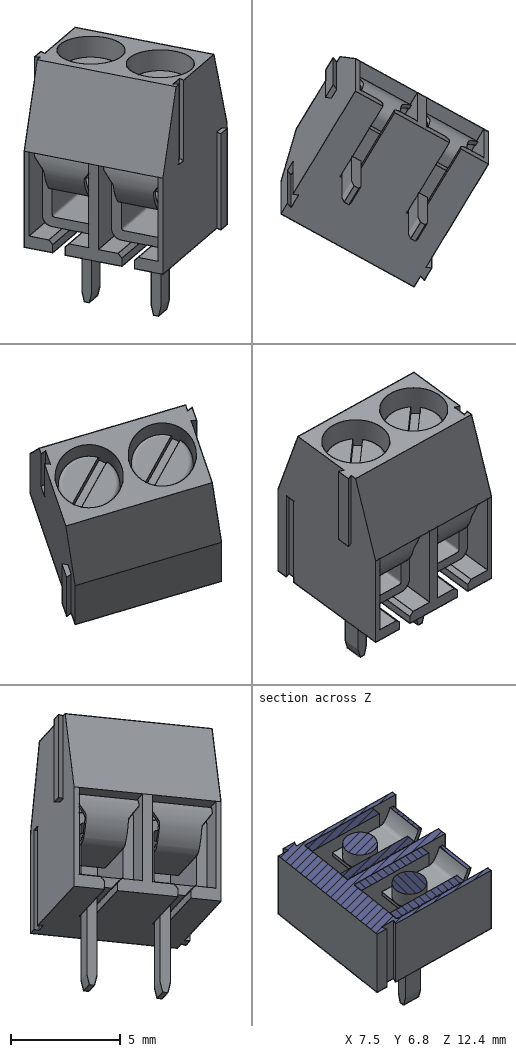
import cadquery as cq
import math

ARC_MID_INSET = 1 - math.sqrt(0.5)

HOUSING_WIDTH = 7.0
HOUSING_DEPTH = 6.8
HOUSING_TOP_DEPTH = 4.0
HOUSING_HEIGHT = 8.8
SHOULDER_Z = 4.8
SIDE_X = HOUSING_WIDTH / 2
FRONT_Y = -HOUSING_DEPTH / 2

PITCH = 3.5
POLE_XS = (-PITCH / 2, PITCH / 2)

POCKET_WIDTH = 3.01
POCKET_FLOOR_Z = 0.61
POCKET_BACK_Y = 2.0

PIN_SLOT_WIDTH = 0.62
PIN_SLOT_BACK_Y = 0.5
PIN_SLOT_CHAMFER = 0.2

KEY_HEIGHT = 0.25
KEY_ROOT_WIDTH = 0.5
KEY_TIP_WIDTH = 0.7
UPPER_KEY_Y = -1.45
LOWER_KEY_Y = 2.55

LEAF_THICKNESS = 0.2
LEAF_CURVE_R = 2.0
LEAF_CURVE_Y = -0.88
LEAF_CURVE_Z = 4.02
UPPER_BEND_R = 0.4
LOWER_BEND_R = 0.5
TONGUE_BOTTOM_Z = 2.57
TONGUE_TOP_Z = TONGUE_BOTTOM_Z + LEAF_THICKNESS
TAPER_BOTTOM_Z = 3.72
TAPER_TOP_Z = 4.39
TAPER_ROUND = 0.4

STRIP = 0.5
CAGE_HALF_WIDTH = POCKET_WIDTH / 2
CAGE_FRONT_Y = -2.0
CAGE_DEPTH = POCKET_BACK_Y - CAGE_FRONT_Y
CAGE_TOP_Z = SHOULDER_Z - LEAF_THICKNESS
LAP_Z = CAGE_TOP_Z - STRIP
OUTER_CORNER_R = 0.5
TUCKED_CORNER_R = 1.25 / 2
OPENING_WIDTH = 2.01
OPENING_CORNER_R = 0.12
OPENING_BOTTOM_Z = POCKET_FLOOR_Z + STRIP
OPENING_TOP_Z = LAP_Z - STRIP

PIN_WIDTH = STRIP
PIN_DEPTH = 0.9
PIN_BOTTOM_Z = HOUSING_HEIGHT - 12.4
PIN_TIP_WIDTH = 0.25
PIN_TIP_LENGTH = 0.5
PIN_BEND_R = 0.2

SCREW_HOLE_D = 3.1
HEAD_SEAT_D = 3.0
HEAD_TOP_D = 2.8
HEAD_TOP_Z = HOUSING_HEIGHT - 0.9
HEAD_ROUND = 0.2
DRIVE_SLOT_WIDTH = 0.45
DRIVE_SLOT_DEPTH = 0.5
DRIVE_SLOT_ANGLE = 45
SHANK_D = 1.6


def dovetail(root_x, tip_x, y, z_bottom, z_top):
    """Upright bar that widens from root_x to tip_x."""
    root = KEY_ROOT_WIDTH / 2
    tip = KEY_TIP_WIDTH / 2
    return (
        cq.Workplane("XY", origin=(0, y, z_bottom))
        .polyline([(root_x, -root), (tip_x, -tip), (tip_x, tip), (root_x, root)])
        .close()
        .extrude(z_top - z_bottom)
    )


def housing_block():
    half_top = HOUSING_TOP_DEPTH / 2
    return (
        cq.Workplane("YZ", origin=(-SIDE_X, 0, 0))
        .moveTo(FRONT_Y, 0)
        .lineTo(-FRONT_Y, 0)
        .lineTo(-FRONT_Y, SHOULDER_Z)
        .lineTo(half_top, HOUSING_HEIGHT)
        .lineTo(-half_top, HOUSING_HEIGHT)
        .lineTo(FRONT_Y, SHOULDER_Z)
        .close()
        .extrude(HOUSING_WIDTH)
    )


def pole_cavity(x):
    """Pocket, pin slot and screw hole of one pole."""
    pocket = (
        cq.Workplane("XZ", origin=(x, POCKET_BACK_Y, (POCKET_FLOOR_Z + SHOULDER_Z) / 2))
        .rect(POCKET_WIDTH, SHOULDER_Z - POCKET_FLOOR_Z)
        .extrude(POCKET_BACK_Y - FRONT_Y)
    )
    half = PIN_SLOT_WIDTH / 2
    mouth = half + PIN_SLOT_CHAMFER
    neck_z = POCKET_FLOOR_Z - PIN_SLOT_CHAMFER
    pin_slot = (
        cq.Workplane("XZ", origin=(x, PIN_SLOT_BACK_Y, 0))
        .moveTo(-half, 0)
        .lineTo(-half, neck_z)
        .lineTo(-mouth, POCKET_FLOOR_Z)
        .lineTo(mouth, POCKET_FLOOR_Z)
        .lineTo(half, neck_z)
        .lineTo(half, 0)
        .close()
        .extrude(PIN_SLOT_BACK_Y - FRONT_Y)
    )
    screw_hole = (
        cq.Workplane("XY", origin=(x, 0, SHOULDER_Z))
        .circle(SCREW_HOLE_D / 2)
        .extrude(HOUSING_HEIGHT - SHOULDER_Z)
    )
    return pocket.union(pin_slot).union(screw_hole)


def make_housing():
    upper = (UPPER_KEY_Y, SHOULDER_Z, HOUSING_HEIGHT)
    lower = (LOWER_KEY_Y, 0, SHOULDER_Z)
    body = housing_block()
    body = body.union(dovetail(-SIDE_X, -SIDE_X - KEY_HEIGHT, *upper))
    body = body.union(dovetail(SIDE_X, SIDE_X + KEY_HEIGHT, *lower))
    body = body.cut(dovetail(SIDE_X, SIDE_X - KEY_HEIGHT, *upper))
    body = body.cut(dovetail(-SIDE_X, -SIDE_X + KEY_HEIGHT, *lower))
    for x in POLE_XS:
        body = body.cut(pole_cavity(x))
    return body


def cage_loop():
    """Wrapped strip: the turn below the lap has a rounded left corner tucked under it."""
    tuck = TUCKED_CORNER_R * ARC_MID_INSET
    corner = OUTER_CORNER_R * ARC_MID_INSET
    left = -CAGE_HALF_WIDTH
    right = CAGE_HALF_WIDTH
    outline = (
        cq.Workplane("XZ", origin=(0, POCKET_BACK_Y, 0))
        .moveTo(left, CAGE_TOP_Z)
        .lineTo(right - OUTER_CORNER_R, CAGE_TOP_Z)
        .threePointArc((right - corner, CAGE_TOP_Z - corner), (right, CAGE_TOP_Z - OUTER_CORNER_R))
        .lineTo(right, POCKET_FLOOR_Z + OUTER_CORNER_R)
        .threePointArc((right - corner, POCKET_FLOOR_Z + corner), (right - OUTER_CORNER_R, POCKET_FLOOR_Z))
        .lineTo(left + OUTER_CORNER_R, POCKET_FLOOR_Z)
        .threePointArc((left + corner, POCKET_FLOOR_Z + corner), (left, POCKET_FLOOR_Z + OUTER_CORNER_R))
        .lineTo(left, LAP_Z - TUCKED_CORNER_R)
        .threePointArc((left + tuck, LAP_Z - tuck), (left + TUCKED_CORNER_R, LAP_Z))
        .lineTo(left, LAP_Z)
        .close()
        .extrude(CAGE_DEPTH)
    )
    opening_height = OPENING_TOP_Z - OPENING_BOTTOM_Z
    opening = (
        cq.Workplane("XZ", origin=(0, POCKET_BACK_Y, OPENING_BOTTOM_Z + opening_height / 2))
        .rect(OPENING_WIDTH, opening_height)
        .extrude(CAGE_DEPTH)
        .edges("|Y")
        .fillet(OPENING_CORNER_R)
    )
    return outline.cut(opening)


def cage_pin():
    """Tapered pin whose left side flares into the bottom of the cage."""
    half = PIN_WIDTH / 2
    half_tip = PIN_TIP_WIDTH / 2
    taper_z = PIN_BOTTOM_Z + PIN_TIP_LENGTH
    bend_mid = PIN_BEND_R * ARC_MID_INSET
    return (
        cq.Workplane("XZ", origin=(0, PIN_DEPTH / 2, 0))
        .moveTo(half, POCKET_FLOOR_Z)
        .lineTo(half, taper_z)
        .lineTo(half_tip, PIN_BOTTOM_Z)
        .lineTo(-half_tip, PIN_BOTTOM_Z)
        .lineTo(-half, taper_z)
        .lineTo(-half, POCKET_FLOOR_Z - PIN_BEND_R)
        .threePointArc(
            (-half - bend_mid, POCKET_FLOOR_Z - bend_mid),
            (-half - PIN_BEND_R, POCKET_FLOOR_Z),
        )
        .close()
        .extrude(PIN_DEPTH)
    )


def shank_bar(z_bottom, z_top):
    return cq.Workplane("XY", origin=(0, 0, z_bottom)).circle(SHANK_D / 2).extrude(z_top - z_bottom)


def make_cage(x):
    cage = cage_loop().union(cage_pin()).cut(shank_bar(OPENING_TOP_Z, CAGE_TOP_Z))
    return cage.translate((x, 0, 0))


def arc_point(centre, radius, angle):
    """Point (y, z) on a circle; the angle rises from the -Y direction."""
    return (centre[0] - radius * math.cos(angle), centre[1] + radius * math.sin(angle))


def leaf_profile():
    """Sheet section in YZ: flat plate, upper bend, wide curve, lower bend, tongue, all tangent."""
    curve = (LEAF_CURVE_Y, LEAF_CURVE_Z)
    upper_z = SHOULDER_Z - UPPER_BEND_R
    lower_z = TONGUE_BOTTOM_Z + LOWER_BEND_R
    upper_angle = math.asin((upper_z - LEAF_CURVE_Z) / (LEAF_CURVE_R - UPPER_BEND_R))
    lower_angle = math.asin((lower_z - LEAF_CURVE_Z) / (LEAF_CURVE_R - LOWER_BEND_R))
    upper = arc_point(curve, LEAF_CURVE_R - UPPER_BEND_R, upper_angle)
    lower = arc_point(curve, LEAF_CURVE_R - LOWER_BEND_R, lower_angle)
    up = math.pi / 2
    upper_mid = (up + upper_angle) / 2
    curve_mid = (upper_angle + lower_angle) / 2
    lower_mid = (lower_angle - up) / 2
    tongue_end_y = SHANK_D / 2
    inner_upper_r = UPPER_BEND_R - LEAF_THICKNESS
    inner_curve_r = LEAF_CURVE_R - LEAF_THICKNESS
    inner_lower_r = LOWER_BEND_R - LEAF_THICKNESS
    return (
        cq.Workplane("YZ", origin=(-CAGE_HALF_WIDTH, 0, 0))
        .moveTo(POCKET_BACK_Y, SHOULDER_Z)
        .lineTo(*arc_point(upper, UPPER_BEND_R, up))
        .threePointArc(arc_point(upper, UPPER_BEND_R, upper_mid), arc_point(upper, UPPER_BEND_R, upper_angle))
        .threePointArc(arc_point(curve, LEAF_CURVE_R, curve_mid), arc_point(curve, LEAF_CURVE_R, lower_angle))
        .threePointArc(arc_point(lower, LOWER_BEND_R, lower_mid), arc_point(lower, LOWER_BEND_R, -up))
        .lineTo(tongue_end_y, TONGUE_BOTTOM_Z)
        .lineTo(tongue_end_y, TONGUE_TOP_Z)
        .lineTo(*arc_point(lower, inner_lower_r, -up))
        .threePointArc(
            arc_point(lower, inner_lower_r, lower_mid),
            arc_point(lower, inner_lower_r, lower_angle),
        )
        .threePointArc(
            arc_point(curve, inner_curve_r, curve_mid),
            arc_point(curve, inner_curve_r, upper_angle),
        )
        .threePointArc(arc_point(upper, inner_upper_r, upper_mid), arc_point(upper, inner_upper_r, up))
        .lineTo(POCKET_BACK_Y, CAGE_TOP_Z)
        .close()
    )


def make_wire_guard(x):
    """Bent leaf, as wide as the cage at the top and tapered to the opening below."""
    half_tongue = OPENING_WIDTH / 2
    outline = (
        cq.Workplane("XZ", origin=(0, POCKET_BACK_Y, 0))
        .moveTo(-half_tongue, TONGUE_BOTTOM_Z)
        .lineTo(-half_tongue, TAPER_BOTTOM_Z)
        .lineTo(-CAGE_HALF_WIDTH, TAPER_TOP_Z)
        .lineTo(-CAGE_HALF_WIDTH, SHOULDER_Z)
        .lineTo(CAGE_HALF_WIDTH, SHOULDER_Z)
        .lineTo(CAGE_HALF_WIDTH, TAPER_TOP_Z)
        .lineTo(half_tongue, TAPER_BOTTOM_Z)
        .lineTo(half_tongue, TONGUE_BOTTOM_Z)
        .close()
        .extrude(POCKET_BACK_Y - FRONT_Y)
        .edges("|Y")
        .edges(">>Z[1]")
        .fillet(TAPER_ROUND)
    )
    leaf = leaf_profile().extrude(POCKET_WIDTH).intersect(outline)
    return leaf.cut(shank_bar(CAGE_TOP_Z, SHOULDER_Z)).translate((x, 0, 0))


def make_screw(x):
    head = (
        cq.Workplane("XY", origin=(0, 0, SHOULDER_Z))
        .circle(HEAD_SEAT_D / 2)
        .workplane(offset=HEAD_TOP_Z - SHOULDER_Z)
        .circle(HEAD_TOP_D / 2)
        .loft()
        .faces(">Z")
        .edges()
        .fillet(HEAD_ROUND)
    )
    drive_slot = (
        cq.Workplane("XY", origin=(0, 0, HEAD_TOP_Z - DRIVE_SLOT_DEPTH))
        .rect(SCREW_HOLE_D, DRIVE_SLOT_WIDTH)
        .extrude(DRIVE_SLOT_DEPTH)
        .rotate((0, 0, 0), (0, 0, 1), DRIVE_SLOT_ANGLE)
    )
    screw = head.cut(drive_slot).union(shank_bar(TONGUE_TOP_Z, SHOULDER_Z))
    return screw.translate((x, 0, 0))


housing = make_housing()
cages = [make_cage(x).val() for x in POLE_XS]
wire_guards = [make_wire_guard(x).val() for x in POLE_XS]
screws = [make_screw(x).val() for x in POLE_XS]

result = cq.Compound.makeCompound([housing.val(), *cages, *wire_guards, *screws])